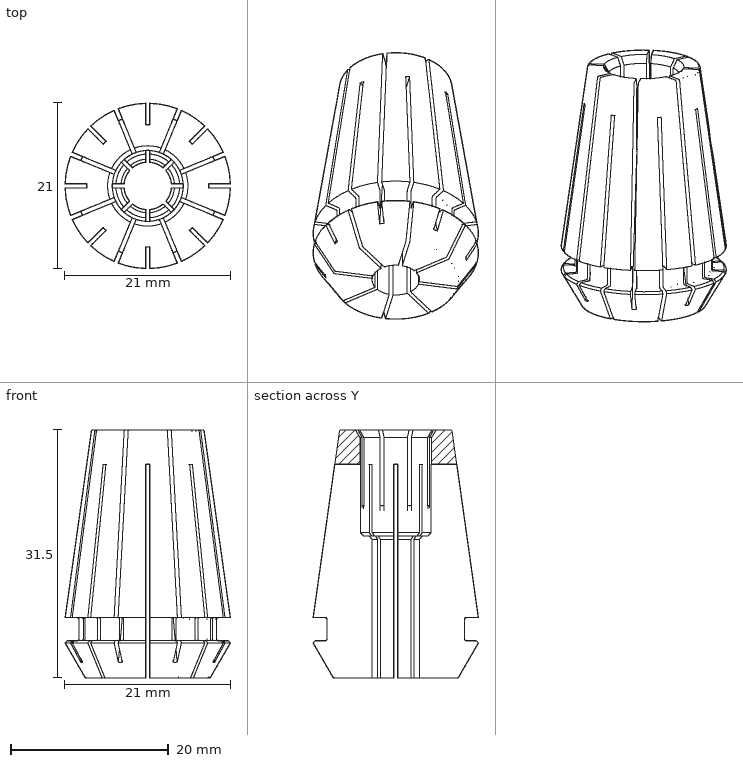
import cadquery as cq
import math

total_length = 31.5
max_radius = 10.5

nose_half_angle = math.radians(30)
nose_height = 4.45
rim_chamfer = 0.3
nose_edge_fillet = 0.2
nose_radius = max_radius - nose_height * math.tan(nose_half_angle)

groove_radius = 8.75
groove_bottom = nose_height + rim_chamfer
groove_width = 2.9
groove_top = groove_bottom + groove_width
groove_corner_fillet = 0.2

taper_half_angle = math.radians(8)
rear_radius = max_radius - (total_length - groove_top) * math.tan(taper_half_angle)
rear_edge_fillet = 0.25

clamp_radius = 3.0
clamp_length = 18.0
clamp_chamfer = 0.4
relief_radius = 4.5
relief_bottom_chamfer = 0.45
rear_bore_chamfer = 0.6
rear_bore_chamfer_depth = 1.0

slot_count = 8
slot_pitch = 360 / slot_count
front_slot_width = 0.5
rear_slot_width = 0.55
front_slot_end = 27.1
rear_slot_end = 2.0
rear_slot_floor_angle = math.radians(13)
cut_clearance = 1.0


def revolve_profile(points):
    """Revolve a closed (radius, z) profile about the Z axis."""
    return cq.Workplane("XZ").polyline(points).close().revolve(360, (0, 0), (0, 1))


def round_circle(body, radius, height, fillet):
    """Fillet the circular edge of the given radius lying at the given height."""
    center = cq.Vector(0, 0, height)
    tolerance = 1e-4
    matches = [
        edge
        for edge in body.edges("%CIRCLE").vals()
        if abs(edge.radius() - radius) < tolerance and (edge.arcCenter() - center).Length < tolerance
    ]
    return body.newObject(matches).fillet(fillet)


def outer_body():
    """Solid body: nose cone, extraction groove and main taper."""
    body = revolve_profile([
        (0, 0),
        (nose_radius, 0),
        (max_radius, nose_height),
        (max_radius - rim_chamfer, groove_bottom),
        (groove_radius, groove_bottom),
        (groove_radius, groove_top),
        (max_radius, groove_top),
        (rear_radius, total_length),
        (0, total_length),
    ])
    body = round_circle(body, nose_radius, 0, nose_edge_fillet)
    body = round_circle(body, groove_radius, groove_bottom, groove_corner_fillet)
    body = round_circle(body, groove_radius, groove_top, groove_corner_fillet)
    return round_circle(body, rear_radius, total_length, rear_edge_fillet)


def stepped_bore():
    """Clamping bore with a lead-in, opening through a step into the relief bore."""
    return revolve_profile([
        (0, 0),
        (clamp_radius, 0),
        (clamp_radius, clamp_length - clamp_chamfer),
        (clamp_radius + clamp_chamfer, clamp_length),
        (relief_radius - relief_bottom_chamfer, clamp_length),
        (relief_radius, clamp_length + relief_bottom_chamfer),
        (relief_radius, total_length - rear_bore_chamfer_depth),
        (relief_radius + rear_bore_chamfer, total_length),
        (0, total_length),
    ])


def radial_slot(points, width, angle):
    """Slot of the given width from a (radius, z) outline, turned about Z."""
    slot = cq.Workplane("XZ").polyline(points).close().extrude(width / 2, both=True)
    return slot.rotate((0, 0, 0), (0, 0, 1), angle)


def front_slot(angle):
    """Slot from the front face, cut fully through to the bore."""
    outside = max_radius + cut_clearance
    outline = [
        (0, -cut_clearance),
        (outside, -cut_clearance),
        (outside, front_slot_end),
        (0, front_slot_end),
    ]
    return radial_slot(outline, front_slot_width, angle)


def rear_slot(angle):
    """Slot from the rear face, with a sloped floor running out on the nose cone."""
    outside = max_radius + cut_clearance
    above = total_length + cut_clearance
    floor_start = nose_radius + rear_slot_end * math.tan(nose_half_angle)
    floor_finish = floor_start - (above - rear_slot_end) * math.tan(rear_slot_floor_angle)
    outline = [
        (floor_start, rear_slot_end),
        (outside, rear_slot_end),
        (outside, above),
        (floor_finish, above),
    ]
    return radial_slot(outline, rear_slot_width, angle)


result = outer_body().cut(stepped_bore())
for index in range(slot_count):
    slot_angle = index * slot_pitch
    result = result.cut(front_slot(slot_angle))
    result = result.cut(rear_slot(slot_angle + slot_pitch / 2))